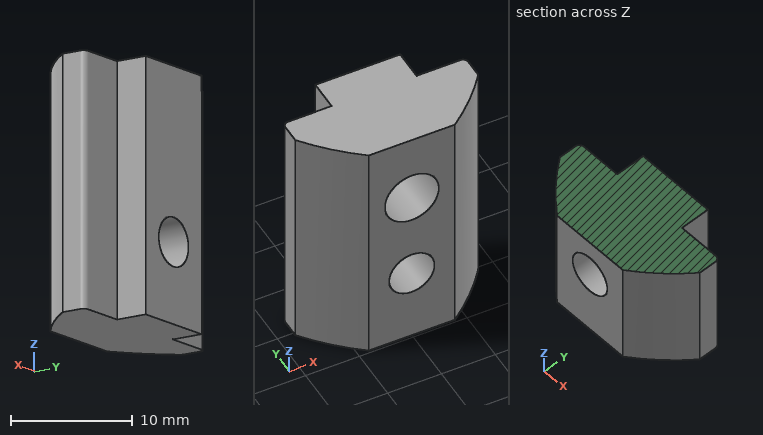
import cadquery as cq

length = 22.0
width = 17.0
thickness = 9.6

neck_width = 7.9
neck_height = 2.9
head_edge_fillet = 0.5
side_height = 2.25
base_width = 8.0
flank_bulge = 0.22

through_diameter = 4.2
through_z = 7.0

blind_diameter = 5.0
blind_z = 15.5
blind_depth = 6.0
cone_tip_diameter = 0.3
cone_height = 1.0

shoulder_y = thickness - neck_height
side_bottom_y = shoulder_y - side_height


def flank_midpoint(side):
    """Middle of the curved flank; side is +1 for +X and -1 for -X."""
    run = (width - base_width) / 2
    chord = (run**2 + side_bottom_y**2) ** 0.5
    x = (width + base_width) / 4 + flank_bulge * side_bottom_y / chord
    y = side_bottom_y / 2 - flank_bulge * run / chord
    return (side * x, y)


def make_body():
    """T-shaped profile with bowed flanks, extruded along Z."""
    profile = (
        cq.Workplane("XY")
        .moveTo(-base_width / 2, 0)
        .lineTo(base_width / 2, 0)
        .threePointArc(flank_midpoint(1), (width / 2, side_bottom_y))
        .lineTo(width / 2, shoulder_y)
        .lineTo(neck_width / 2, shoulder_y)
        .lineTo(neck_width / 2, thickness)
        .lineTo(-neck_width / 2, thickness)
        .lineTo(-neck_width / 2, shoulder_y)
        .lineTo(-width / 2, shoulder_y)
        .lineTo(-width / 2, side_bottom_y)
        .threePointArc(flank_midpoint(-1), (-base_width / 2, 0))
        .close()
    )
    body = profile.extrude(length)
    head_corners = cq.selectors.BoxSelector(
        (-width, shoulder_y - head_edge_fillet / 2, 0),
        (width, shoulder_y + head_edge_fillet / 2, length),
    )
    outer_corners = body.edges("|Z").edges(head_corners).edges("<X or >X")
    return outer_corners.fillet(head_edge_fillet)


def make_through_hole():
    """Cylinder along Y through the whole thickness."""
    return cq.Workplane("XZ").center(0, through_z).circle(through_diameter / 2).extrude(-thickness)


def make_blind_hole():
    """Drilled hole entering from the base face, revolved about its axis."""
    return (
        cq.Workplane("XY", origin=(0, 0, blind_z))
        .lineTo(blind_diameter / 2, 0)
        .lineTo(blind_diameter / 2, blind_depth)
        .lineTo(cone_tip_diameter / 2, blind_depth + cone_height)
        .lineTo(0, blind_depth + cone_height)
        .close()
        .revolve(360, (0, 0, 0), (0, 1, 0))
    )


result = make_body().cut(make_through_hole()).cut(make_blind_hole())